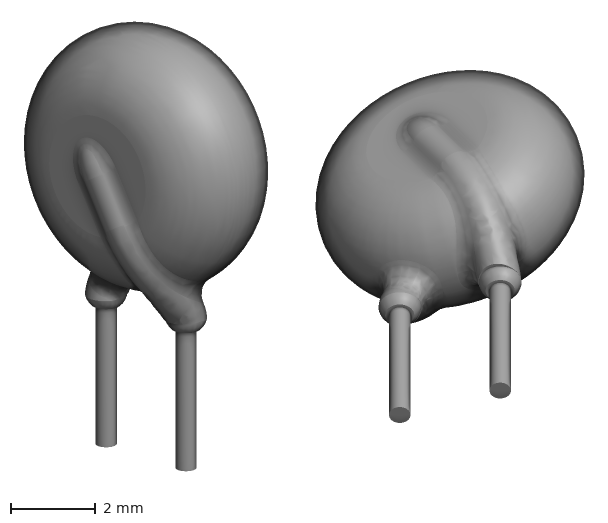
import cadquery as cq
import math

disc_radius = 3.25
disc_half_thickness = 1.75
flat_radius = 1.5

lead_diameter = 0.5
lead_offset = 1.25
lead_end_z = -7.5

coat_radius = 0.5
coat_height = 2.0
coat_angle = 60
straight_length = 1.29
end_bend_radius = 1.0
blend_radius = 0.54
approach_angle = 51
knee_radius = 0.65
knee_z = -3.63
collar_bottom_z = -4.0
collar_rounding_height = 0.3
collar_rounding_radius = 0.43
collar_bottom_radius = 0.34

run_y = coat_radius - coat_height


def downward(angle, sideways):
    """Unit vector pointing down at an angle below the given horizontal direction."""
    turn = math.radians(angle)
    return sideways * math.cos(turn) - cq.Vector(0, 0, math.sin(turn))


run_direction = downward(coat_angle, cq.Vector(1, 0, 0))
approach_direction = downward(approach_angle, cq.Vector(0, 1, 0))


def run_point(distance, depth=0.0):
    """Point along the straight run from the disc axis, sunk towards the mid-plane."""
    return run_direction * distance + cq.Vector(0, run_y + depth, 0)


def make_disc():
    """Disc with flat faces and a fully rounded rim."""
    half = cq.Workplane("YZ").moveTo(-disc_half_thickness, 0)
    half = half.lineTo(-disc_half_thickness, flat_radius)
    half = half.threePointArc((0, disc_radius), (disc_half_thickness, flat_radius))
    half = half.lineTo(disc_half_thickness, 0).close()
    return half.revolve(360, (0, 0), (1, 0))


def make_coating():
    """Coating of the lead that crosses the -Y face."""
    inner_end = run_point(-end_bend_radius, end_bend_radius)
    rise = cq.Edge.makeTangentArc(inner_end, cq.Vector(0, -1, 0), run_point(0))
    straight = cq.Edge.makeLine(run_point(0), run_point(straight_length))

    knee = cq.Vector(lead_offset, 0, knee_z)
    setback = knee_radius * math.tan(math.radians(90 - approach_angle) / 2)
    knee_start = knee - approach_direction * setback
    knee_end = knee - cq.Vector(0, 0, setback)
    curve = cq.Edge.makeSpline(
        [run_point(straight_length), knee_start],
        tangents=[run_direction, approach_direction],
    )
    bend = cq.Edge.makeTangentArc(knee_start, approach_direction, knee_end)
    collar = cq.Edge.makeLine(knee_end, cq.Vector(lead_offset, 0, collar_bottom_z))

    path = cq.Wire.assembleEdges([rise, straight, curve, bend, collar])
    start = cq.Plane(origin=inner_end, normal=(0, -1, 0))
    return cq.Workplane(start).circle(coat_radius).sweep(path)


def make_collar_trim():
    """Ring that rounds off the bottom edge of the collar."""
    shoulder_z = collar_bottom_z + collar_rounding_height
    outer_radius = 2 * coat_radius
    trim = cq.Workplane("XZ").moveTo(collar_bottom_radius, collar_bottom_z)
    trim = trim.radiusArc((coat_radius, shoulder_z), -collar_rounding_radius)
    trim = trim.lineTo(outer_radius, shoulder_z).lineTo(outer_radius, collar_bottom_z)
    trim = trim.close().revolve(360, (0, 0), (0, 1))
    return trim.translate((lead_offset, 0, 0))


def make_lead():
    lead = cq.Workplane("XY", origin=(lead_offset, 0, lead_end_z))
    return lead.circle(lead_diameter / 2).extrude(knee_z - lead_end_z)


def half_turn(shape):
    """Copy of the shape for the other lead, on the opposite face."""
    return shape.rotate((0, 0, 0), (0, 0, 1), 180)


def shared_edges(body, first, second):
    """Edges of the body that lie on the surfaces of both shapes it was joined from."""
    tolerance = 0.0001
    sample = 0.37

    def touches(point, shape):
        return any(face.distance(point) < tolerance for face in shape.faces().vals())

    found = []
    for edge in body.edges().vals():
        point = cq.Vertex.makeVertex(*edge.positionAt(sample).toTuple())
        if touches(point, first) and touches(point, second):
            found.append(edge)
    return found


disc = make_disc()
coating = make_coating()
collar_trim = make_collar_trim()
lead = make_lead()

result = disc
for part in (coating, half_turn(coating)):
    result = result.union(part)
joins = []
for part in (coating, half_turn(coating)):
    joins += shared_edges(result, disc, part)
result = result.newObject(joins).fillet(blend_radius)
for trim in (collar_trim, half_turn(collar_trim)):
    result = result.cut(trim)
for part in (lead, half_turn(lead)):
    result = result.union(part)